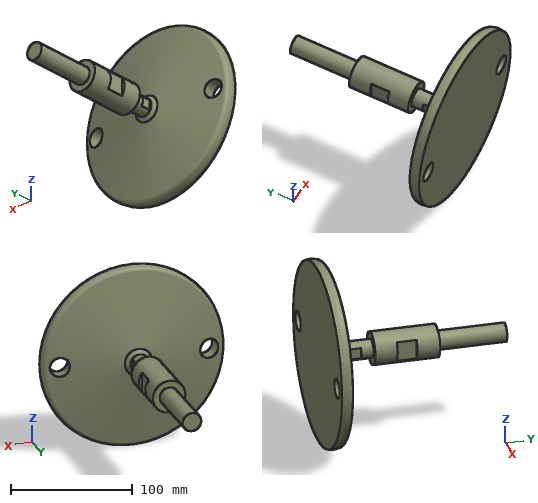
import cadquery as cq
import math

total_length = 159.0

plate_diameter = 158.0
parting_height = 4.5
rim_draft = 0.5
rim_round_start = 7.2
cone_base_height = 10.2
cone_top_height = 21.1
cone_top_radius = 11.1
shoulder_width = 2.5

hole_diameter = 16.5
hole_offset = 62.6
drill_length = 63.6

shaft_diameter = 16.0
collar_diameter = 23.5
collar_neck_radius = 11.1
bead_mid_height = 22.0
bead_top_height = 2 * bead_mid_height - cone_top_height
collar_top_height = 24.8
sleeve_diameter = 28.0
sleeve_bottom = 45.5
sleeve_top = 100.5

shaft_flat_width = 13.0
shaft_flat_bottom = 25.8
shaft_flat_top = 35.1
sleeve_flat_width = 22.3
sleeve_flat_bottom = 64.4
sleeve_flat_top = 81.1

plate_radius = plate_diameter / 2
rim_radius = plate_radius - rim_draft
cone_base_radius = rim_radius - shoulder_width
cone_slope = math.atan2(cone_top_height - cone_base_height, cone_base_radius - cone_top_radius)


def revolve_about_y(profile):
    """Revolve a closed profile in the XY plane about the Y axis."""
    return profile.close().revolve(360, (0, 0, 0), (0, 1, 0))


def make_hole_cutter(side):
    """Cylinder through the plate at X = side * hole_offset, leaning outwards with the cone normal."""
    direction = cq.Vector(side * math.sin(cone_slope), math.cos(cone_slope), 0)
    centre = cq.Vector(side * hole_offset, 0, 0)
    start = centre - direction * (drill_length / 2)
    return cq.Workplane(cq.Solid.makeCylinder(hole_diameter / 2, drill_length, start, direction))


def make_base_plate():
    plate = revolve_about_y(
        cq.Workplane("XY")
        .moveTo(0, 0)
        .lineTo(rim_radius, 0)
        .lineTo(plate_radius, parting_height)
        .lineTo(rim_radius, rim_round_start)
        .tangentArcPoint((cone_base_radius, cone_base_height), relative=False)
        .lineTo(cone_top_radius, cone_top_height)
        .lineTo(0, cone_top_height)
    )
    for side in (-1, 1):
        plate = plate.cut(make_hole_cutter(side))
    return plate


def cut_flats(body, across_flats, diameter, bottom, top):
    """Cut two opposite flats, facing -X and +X, between two heights."""
    depth = (diameter - across_flats) / 2
    for side in (-1, 1):
        cutter = (
            cq.Workplane("XY")
            .box(depth, top - bottom, diameter)
            .translate((side * (across_flats + depth) / 2, (bottom + top) / 2, 0))
        )
        body = body.cut(cutter)
    return body


def make_spindle():
    shaft_radius = shaft_diameter / 2
    sleeve_radius = sleeve_diameter / 2
    spindle = revolve_about_y(
        cq.Workplane("XY")
        .moveTo(0, cone_top_height)
        .lineTo(collar_neck_radius, cone_top_height)
        .threePointArc((collar_diameter / 2, bead_mid_height), (collar_neck_radius, bead_top_height))
        .lineTo(shaft_radius, collar_top_height)
        .lineTo(shaft_radius, sleeve_bottom)
        .lineTo(sleeve_radius, sleeve_bottom)
        .lineTo(sleeve_radius, sleeve_top)
        .lineTo(shaft_radius, sleeve_top)
        .lineTo(shaft_radius, total_length)
        .lineTo(0, total_length)
    )
    spindle = cut_flats(spindle, shaft_flat_width, shaft_diameter, shaft_flat_bottom, shaft_flat_top)
    return cut_flats(spindle, sleeve_flat_width, sleeve_diameter, sleeve_flat_bottom, sleeve_flat_top)


base_plate = make_base_plate()
spindle = make_spindle()

result = cq.Compound.makeCompound([base_plate.val(), spindle.val()])